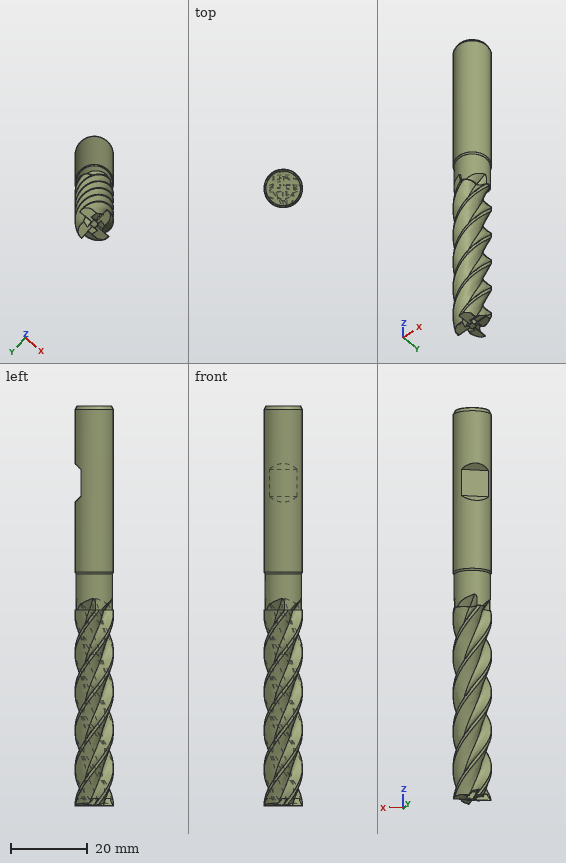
import cadquery as cq
import math


overall_length = 104.0
cutting_length = 51.0
tool_radius = 5.0
flute_count = 4
flute_pitch = 360.0 / flute_count
helix_angle = 38.0
helix_lead = 2 * math.pi * tool_radius / math.tan(math.radians(helix_angle))
cutting_twist = 360.0 * cutting_length / helix_lead

edge_angle = -84.7
land_angle = 11.0
flank_foot = (2.45, -1.25)
rake_foot = (3.6, -0.1)
flank_bow = 0.5
flute_bow = 0.19

runout_slope = 0.76
runout_start = 0.2
runout_height = 4.5
clearance = 5.0

end_relief_angle = 16.0
end_relief_width = 2.5
gash_depth = 1.9
gash_lean_angle = 28.0
gash_floor_width = 1.2
gash_width = 2.0
gash_inner_radius = 0.8

neck_radius = 4.75
neck_top = 60.3
neck_taper_length = 0.5
shank_chamfer_width = 0.5
shank_chamfer_length = 1.0

flat_height = 3.5
flat_length = 7.0
flat_center = overall_length - 20.0


def polar(radius, angle):
    """Point at a radius and an angle in degrees."""
    return (radius * math.cos(math.radians(angle)), radius * math.sin(math.radians(angle)))


def turned(point, angle):
    """Point turned about the tool axis by an angle in degrees."""
    return polar(math.hypot(*point), math.degrees(math.atan2(point[1], point[0])) + angle)


def unit_vector(start, end):
    """Unit direction from one point to another."""
    length = math.dist(start, end)
    return ((end[0] - start[0]) / length, (end[1] - start[1]) / length)


def moved(point, direction, distance):
    """Point moved along a direction."""
    return (point[0] + distance * direction[0], point[1] + distance * direction[1])


def bowed_middle(start, end, bow):
    """Middle of an arc that bows to the left of its chord."""
    direction = unit_vector(start, end)
    left = (-direction[1], direction[0])
    return moved(moved(start, direction, math.dist(start, end) / 2), left, bow)


edge_point = polar(tool_radius, edge_angle)
land_middle = polar(tool_radius, edge_angle + land_angle / 2)
land_end = polar(tool_radius, edge_angle + land_angle)
next_edge_point = turned(edge_point, flute_pitch)

flank_bulge = bowed_middle(flank_foot, land_end, flank_bow)
flute_bottom = bowed_middle(flank_foot, rake_foot, flute_bow)

rake_direction = unit_vector(rake_foot, next_edge_point)
flank_direction = unit_vector(flank_foot, land_end)


def tooth_section():
    """Closed cross-section of all teeth at the top of the cutting part."""
    section = cq.Workplane("XY").moveTo(*edge_point)
    for i in range(flute_count):
        angle = i * flute_pitch
        section = (
            section.threePointArc(turned(land_middle, angle), turned(land_end, angle))
            .threePointArc(turned(flank_bulge, angle), turned(flank_foot, angle))
            .threePointArc(turned(flute_bottom, angle), turned(rake_foot, angle))
        )
        if i < flute_count - 1:
            section = section.lineTo(*turned(next_edge_point, angle))
    return section.close()


def end_cutter():
    """Cuts the end relief behind one end tooth and the gash in front of it.

    The end tooth points to +X, its edge is on the X axis and its back is on the +Y side.
    """
    relief_rise = end_relief_width * math.tan(math.radians(end_relief_angle))
    gash_wall_top = gash_depth * math.tan(math.radians(gash_lean_angle))
    return (
        cq.Workplane("YZ", origin=(gash_inner_radius, 0, 0))
        .moveTo(0, 0)
        .lineTo(end_relief_width, relief_rise)
        .lineTo(end_relief_width, -clearance)
        .lineTo(-gash_width, -clearance)
        .lineTo(-gash_width, 0)
        .lineTo(gash_wall_top - gash_floor_width, gash_depth)
        .lineTo(gash_wall_top, gash_depth)
        .close()
        .extrude(tool_radius + clearance)
    )


def build_cutting_part():
    teeth = tooth_section().twistExtrude(cutting_length, cutting_twist)
    teeth = teeth.rotate((0, 0, 0), (0, 0, 1), -cutting_twist)
    cutter = end_cutter().rotate((0, 0, 0), (0, 0, 1), edge_angle - cutting_twist)
    for i in range(flute_count):
        teeth = teeth.cut(cutter.rotate((0, 0, 0), (0, 0, 1), i * flute_pitch))
    return teeth


def runout_cutter():
    """Void of one flute that leaves the neck along the rake direction as it rises."""
    section = (
        cq.Workplane("XY", origin=(0, 0, cutting_length))
        .moveTo(*moved(land_end, flank_direction, clearance))
        .lineTo(*land_end)
        .threePointArc(flank_bulge, flank_foot)
        .threePointArc(flute_bottom, rake_foot)
        .lineTo(*moved(next_edge_point, rake_direction, clearance))
        .close()
    )
    start_x, start_y = moved((0, 0), rake_direction, runout_start)
    travel_x, travel_y = moved((0, 0), rake_direction, runout_slope * runout_height)
    travel = cq.Vector(travel_x, travel_y, runout_height)
    void = cq.Solid.extrudeLinear(section.val(), [], travel)
    return cq.Workplane(void).translate((start_x, start_y, 0))


def flat_cutter():
    """Clamping flat whose ends slope out at 45 degrees."""
    half_length = flat_length / 2
    return (
        cq.Workplane("YZ", origin=(-tool_radius, 0, 0))
        .moveTo(flat_height, flat_center - half_length)
        .lineTo(flat_height, flat_center + half_length)
        .lineTo(flat_height + clearance, flat_center + half_length + clearance)
        .lineTo(flat_height + clearance, flat_center - half_length - clearance)
        .close()
        .extrude(2 * tool_radius)
    )


def build_shank():
    shank = (
        cq.Workplane("XZ")
        .moveTo(0, cutting_length)
        .lineTo(neck_radius, cutting_length)
        .lineTo(neck_radius, neck_top)
        .lineTo(tool_radius, neck_top + neck_taper_length)
        .lineTo(tool_radius, overall_length - shank_chamfer_length)
        .lineTo(tool_radius - shank_chamfer_width, overall_length)
        .lineTo(0, overall_length)
        .close()
        .revolve(360, (0, 0, 0), (0, 1, 0))
    )
    for i in range(flute_count):
        shank = shank.cut(runout_cutter().rotate((0, 0, 0), (0, 0, 1), i * flute_pitch))
    return shank.cut(flat_cutter())


cutting_part = build_cutting_part()
shank = build_shank()

result = cq.Compound.makeCompound([cutting_part.solids().val(), shank.solids().val()])